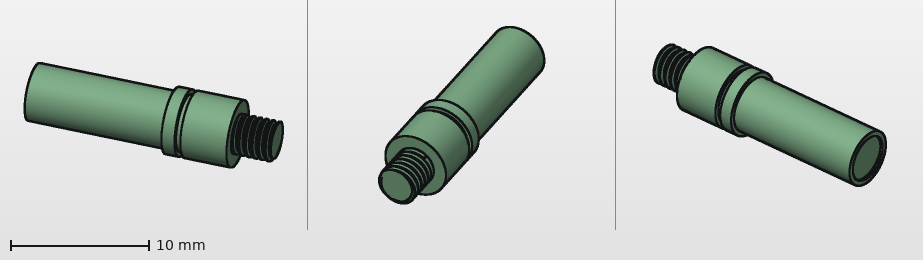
import cadquery as cq
import math

total_length = 18.6
collar_length = 1.0
groove_length = 0.45
head_length = 3.53
stud_length = 3.01
barrel_length = total_length - collar_length - groove_length - head_length - stud_length

barrel_diameter = 4.3
head_diameter = 5.0
recess_diameter = 3.5
stud_diameter = 3.0

recess_depth = 0.2

thread_pitch = 0.5
thread_depth = 0.26
crest_width = 0.1
root_width = 0.13
start_offset = 0.19
start_angle = 142.5
cutter_overlap = 0.04
seam_angle = 180.0


def cylinder(start, length, diameter):
    """Solid cylinder along +X."""
    return cq.Workplane("YZ", origin=(start, 0, 0)).circle(diameter / 2).extrude(length)


def thread_cutter():
    """Trapezoidal groove swept along a helix, running out past the free end of the stud."""
    stud_radius = stud_diameter / 2
    root_radius = stud_radius - thread_depth
    outer_radius = stud_radius + cutter_overlap
    half_root = root_width / 2
    half_mouth = (thread_pitch - crest_width) / 2
    flank_slope = (half_mouth - half_root) / thread_depth
    half_outer = half_mouth + flank_slope * cutter_overlap

    turns = math.ceil((stud_length - start_offset) / thread_pitch) + 1
    helix = cq.Wire.makeHelix(thread_pitch, turns * thread_pitch, root_radius)
    profile = cq.Workplane("XZ").polyline([
        (root_radius, -half_root),
        (outer_radius, -half_outer),
        (outer_radius, half_outer),
        (root_radius, half_root),
    ]).close()
    cutter = profile.sweep(cq.Workplane(obj=helix), isFrenet=True)

    cutter = cutter.rotate((0, 0, 0), (0, 1, 0), 90)
    cutter = cutter.rotate((0, 0, 0), (1, 0, 0), start_angle)
    return cutter.translate((total_length - stud_length + start_offset, 0, 0))


groove_start = barrel_length + collar_length
head_start = groove_start + groove_length
barrel = cylinder(0, head_start, barrel_diameter)
collar = cylinder(barrel_length, collar_length, head_diameter)
head = cylinder(head_start, head_length, head_diameter)

recess = cylinder(0, recess_depth, recess_diameter)

stud = cylinder(head_start + head_length, stud_length, stud_diameter)
stud = stud.rotate((0, 0, 0), (1, 0, 0), seam_angle).cut(thread_cutter())

result = barrel.union(collar).union(head).cut(recess).union(stud)